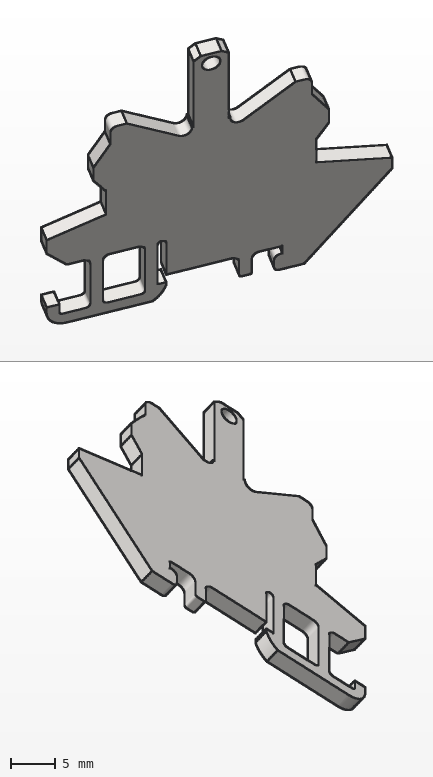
import cadquery as cq

thickness = 2.0
length = 41.0
height = 40.5
left_end = 21.5
right_end = left_end - length

post_half = 2.1
post_chamfer_y = 0.85
post_chamfer_z = 0.6
post_root_z = 28.55
ledge_half = 2.3
notch_mid_half = 2.6
notch_mid_z = 27.7
notch_half = 3.8
notch_z = 27.6
ear_inner_half = 10.0
ear_half = 11.97
ear_top = 32.0
ear_bottom = 29.1
ear_radius = 0.9
bulge_half = 14.0
bulge_top = 25.75
bulge_bottom = 23.45
neck_half = 12.45
neck_top = 21.07
neck_bottom = 17.1

hole_diameter = 2.17
hole_z = 38.83

left_wing_top = 14.65
right_wing_top = 15.15
wing_bottom = 12.8
right_wing_under_y = -17.15
cavity_top = 10.05

hook_toe_y = 11.03
hook_wall_y = 8.45
hook_tip_y = 7.45
hook_top_radius = 0.8
hook_bottom_radius = 0.65
lip_z = 2.75
recess_top = 4.0

tab_left = 4.85
tab_right = 3.32
tab_bottom = 0.5
tab_root_radius = 0.9
tab_tip_radius = 0.33

slot_left = -5.35
slot_right = -6.35
slot_radius = (slot_left - slot_right) / 2

foot_side_z = 2.25
foot_mid_y = -6.1
foot_mid_z = 0.78
foot_bottom_y = -6.95
foot_top = 1.72
foot_corner_radius = 2.38
upturn_inner_y = -18.0
upturn_top = 3.5
upturn_inner_radius = 0.35

window_left = -7.85
window_right = -12.85
leg_right = -14.35
cavity_top_radius = 0.8
cavity_bottom_radius = 0.57


def upper_side(profile, side):
    """Draw one side of the upper body, from post to neck (side=1) or neck to post (side=-1)."""
    outer_points = [
        (side * ear_inner_half, ear_top),
        (side * ear_half, ear_top),
        (side * ear_half, ear_bottom),
        (side * bulge_half, bulge_top),
        (side * bulge_half, bulge_bottom),
        (side * neck_half, neck_top),
        (side * neck_half, neck_bottom),
    ]
    post_points = [
        (side * (post_half - post_chamfer_y), height),
        (side * post_half, height - post_chamfer_z),
        (side * post_half, post_root_z),
        (side * ledge_half, post_root_z),
    ]
    notch_mid = (side * notch_mid_half, notch_mid_z)
    notch_end = (side * notch_half, notch_z)
    if side > 0:
        for point in post_points:
            profile = profile.lineTo(*point)
        profile = profile.threePointArc(notch_mid, notch_end)
        for point in outer_points:
            profile = profile.lineTo(*point)
    else:
        for point in reversed(outer_points):
            profile = profile.lineTo(*point)
        profile = profile.lineTo(*notch_end).threePointArc(notch_mid, post_points[-1])
        for point in reversed(post_points[:-1]):
            profile = profile.lineTo(*point)
    return profile


def make_plate():
    """Extrude the outline with its small corners still sharp."""
    profile = cq.Workplane("YZ").moveTo(0, height)
    profile = upper_side(profile, 1)
    profile = (
        profile
        .lineTo(left_end, left_wing_top)
        .lineTo(left_end, wing_bottom)
        .lineTo(hook_toe_y, 0)
        .lineTo(hook_tip_y, 0)
        .lineTo(hook_tip_y, lip_z)
        .lineTo(hook_wall_y, lip_z)
        .lineTo(hook_wall_y, recess_top)
        .lineTo(tab_left, recess_top)
        .lineTo(tab_left, tab_bottom)
        .lineTo(tab_right, tab_bottom)
        .lineTo(tab_right, recess_top)
        .lineTo(slot_left, recess_top)
        .lineTo(slot_left, cavity_top - slot_radius)
        .threePointArc(
            ((slot_left + slot_right) / 2, cavity_top),
            (slot_right, cavity_top - slot_radius),
        )
        .lineTo(slot_right, lip_z)
        .lineTo(slot_left, lip_z)
        .lineTo(slot_left, foot_side_z)
        .threePointArc((foot_mid_y, foot_mid_z), (foot_bottom_y, 0))
        .lineTo(right_end, 0)
        .lineTo(right_end, upturn_top)
        .lineTo(upturn_inner_y, upturn_top)
        .lineTo(upturn_inner_y, foot_top)
        .lineTo(leg_right, foot_top)
        .lineTo(leg_right, cavity_top)
        .lineTo(right_wing_under_y, cavity_top)
        .lineTo(right_end, wing_bottom)
        .lineTo(right_end, right_wing_top)
    )
    return upper_side(profile, -1).close().extrude(thickness / 2, both=True)


def cut_openings(plate):
    """Cut the rectangular window and the round post hole through the plate."""
    window = (
        cq.Workplane("YZ")
        .center((window_left + window_right) / 2, (foot_top + cavity_top) / 2)
        .rect(window_left - window_right, cavity_top - foot_top)
        .extrude(thickness, both=True)
    )
    hole = (
        cq.Workplane("YZ")
        .center(0, hole_z)
        .circle(hole_diameter / 2)
        .extrude(thickness, both=True)
    )
    return plate.cut(window).cut(hole)


def round_corners(plate, radius, corners):
    """Fillet the through-thickness edge at each (Y, Z) corner."""
    for y, z in corners:
        edge = plate.edges("|X").edges(cq.NearestToPointSelector((0, y, z)))
        plate = edge.fillet(radius)
    return plate


result = cut_openings(make_plate())

corner_groups = [
    (ear_radius, [(ear_half, ear_top), (-ear_half, ear_top)]),
    (hook_top_radius, [(hook_tip_y, lip_z)]),
    (hook_bottom_radius, [(hook_tip_y, 0)]),
    (tab_root_radius, [(tab_left, recess_top), (tab_right, recess_top)]),
    (tab_tip_radius, [(tab_left, tab_bottom), (tab_right, tab_bottom)]),
    (foot_corner_radius, [(right_end, 0)]),
    (upturn_inner_radius, [(upturn_inner_y, foot_top)]),
    (cavity_top_radius, [(y, cavity_top) for y in (window_left, window_right, leg_right)]),
    (cavity_bottom_radius, [(y, foot_top) for y in (window_left, window_right, leg_right)]),
]
for corner_radius, corner_points in corner_groups:
    result = round_corners(result, corner_radius, corner_points)